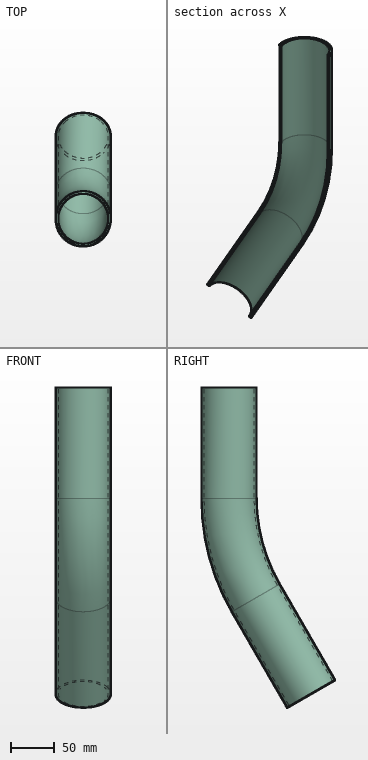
import cadquery as cq
import math

outer_diameter = 63.5
inner_diameter = 57.3

leg_length = 127.0
bend_radius = 228.5
bend_angle = 30.0


def bend_point(angle):
    """Return the (Y, Z) centreline point at an angle in degrees into the bend."""
    turn = math.radians(angle)
    return bend_radius * (1 - math.cos(turn)), -bend_radius * math.sin(turn)


bend_end_y, bend_end_z = bend_point(bend_angle)
slope = math.radians(bend_angle)
lower_end = (
    bend_end_y + leg_length * math.sin(slope),
    bend_end_z - leg_length * math.cos(slope),
)

centreline = (
    cq.Workplane("YZ")
    .moveTo(0, leg_length)
    .lineTo(0, 0)
    .threePointArc(bend_point(bend_angle / 2), (bend_end_y, bend_end_z))
    .lineTo(*lower_end)
)

result = (
    cq.Workplane("XY", origin=(0, 0, leg_length))
    .circle(outer_diameter / 2)
    .circle(inner_diameter / 2)
    .sweep(centreline)
)